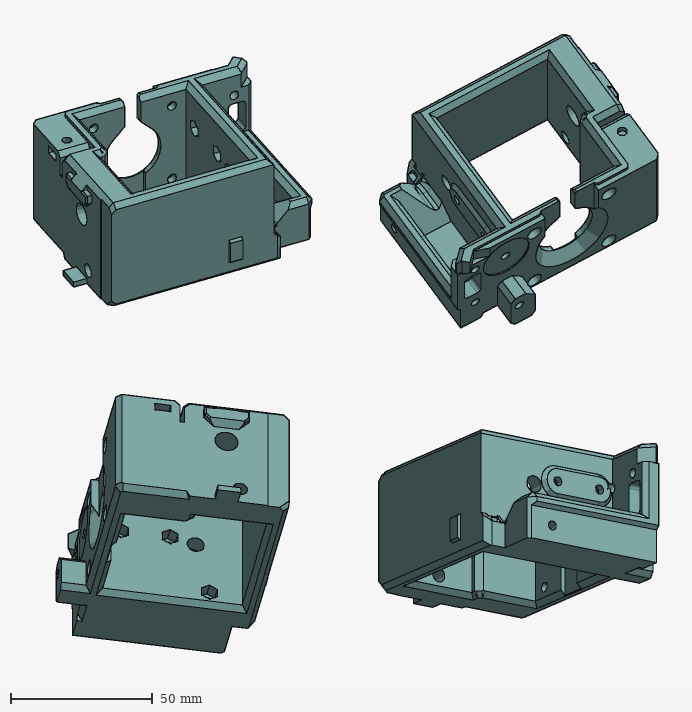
import cadquery as cq
import math

HEIGHT = 44.0
BOX_RIGHT = 62.1
BACK_END = 84.8
EDGE = 1.9

PLATE = 6.0
CAVITY_RIGHT = 56.2
CAVITY_FRONT = 12.0
CAVITY_BACK = 58.1
BACK_WALL = 64.6
INNER_BLOCK_RIGHT = 30.3
INNER_BLOCK_BACK = 16.0
RIM_CHAMFER = 2.0
BOTTOM_CHAMFER = 2.2

LEDGE_Z = 42.75
RIM_LEFT = 1.9
RIM_FRONT = 11.9
SLIT_LEFT = 22.8
SLIT_RIGHT = 24.3

TRAY_RIGHT = 54.4
TRAY_BACK = 78.75
TRAY_TOP = 17.0
TRAY_LIP = 1.35
TRAY_LIP_Z = 13.4
RAMP_START = 36.3
RAMP_END = 50.9
RAMP_SLOPE = 0.75

SCREW = 3.4
NUT_SCREW = 3.2


def box(x0, x1, y0, y1, z0, z1):
    """Block between two opposite corners."""
    return cq.Workplane("XY").box(x1 - x0, y1 - y0, z1 - z0, centered=False).translate((x0, y0, z0))


def prism_x(points, x0, x1):
    """Outline of (Y, Z) points extruded from x0 to x1."""
    return cq.Workplane("YZ", origin=(x0, 0, 0)).polyline(points).close().extrude(x1 - x0)


def prism_y(points, y0, y1):
    """Outline of (X, Z) points extruded from y0 to y1."""
    return cq.Workplane("XZ", origin=(0, y0, 0)).polyline(points).close().extrude(y0 - y1)


def prism_z(points, z0, z1):
    """Outline of (X, Y) points extruded from z0 to z1."""
    return cq.Workplane("XY", origin=(0, 0, z0)).polyline(points).close().extrude(z1 - z0)


def rod_x(diameter, y, z, x0, x1):
    """Cylinder along X."""
    return cq.Workplane("YZ", origin=(x0, y, z)).circle(diameter / 2).extrude(x1 - x0)


def rod_y(diameter, x, z, y0, y1):
    """Cylinder along Y."""
    return cq.Workplane("XZ", origin=(x, y0, z)).circle(diameter / 2).extrude(y0 - y1)


def corner_tetrahedron(corner, legs):
    """Tetrahedron with a right-angled corner and signed legs along X, Y and Z."""
    tip = cq.Vector(*corner)
    ends = [tip + cq.Vector(*(leg if i == j else 0 for j in range(3))) for i, leg in enumerate(legs)]
    triangles = [
        (tip, ends[0], ends[1]),
        (tip, ends[1], ends[2]),
        (tip, ends[2], ends[0]),
        (ends[0], ends[1], ends[2]),
    ]
    faces = [cq.Face.makeFromWires(cq.Wire.makePolygon(list(t), close=True)) for t in triangles]
    return cq.Workplane(cq.Solid.makeSolid(cq.Shell.makeShell(faces)))


RIGHT_SET_BACK = 0.4
REAR_BLOCK_BACK = 68.2
REAR_BLOCK_Z = 12.6


def main_box():
    outline = [
        (0, EDGE),
        (EDGE, 0),
        (TRAY_RIGHT, 0),
        (TRAY_RIGHT, RIGHT_SET_BACK),
        (BOX_RIGHT, RIGHT_SET_BACK),
        (BOX_RIGHT, BACK_WALL),
        (0, BACK_WALL),
    ]
    rear_profile = [
        (CAVITY_BACK, 0),
        (REAR_BLOCK_BACK, 0),
        (REAR_BLOCK_BACK, REAR_BLOCK_Z - (REAR_BLOCK_BACK - BACK_WALL)),
        (BACK_WALL, REAR_BLOCK_Z),
        (CAVITY_BACK, REAR_BLOCK_Z),
    ]
    rear_block = prism_x(rear_profile, TRAY_RIGHT, BOX_RIGHT)
    corner = 2.3
    rear_corner = [
        (BOX_RIGHT, REAR_BLOCK_BACK - corner),
        (BOX_RIGHT - corner, REAR_BLOCK_BACK),
        (BOX_RIGHT, REAR_BLOCK_BACK),
    ]
    return prism_z(outline, 0, HEIGHT).union(rear_block.cut(prism_z(rear_corner, 0, HEIGHT)))


def cavity():
    """Opening through the whole height, widened by a chamfer at both ends."""
    step = 2.25
    outline = [
        (PLATE, INNER_BLOCK_BACK),
        (INNER_BLOCK_RIGHT - step, INNER_BLOCK_BACK),
        (INNER_BLOCK_RIGHT, INNER_BLOCK_BACK - step),
        (INNER_BLOCK_RIGHT, CAVITY_FRONT),
        (CAVITY_RIGHT, CAVITY_FRONT),
        (CAVITY_RIGHT, CAVITY_BACK),
        (PLATE, CAVITY_BACK),
    ]
    hollow = prism_z(outline, 0, HEIGHT)
    for end, direction in ((HEIGHT, -1), (0, 1)):
        grown = cq.Workplane("XY", origin=(0, 0, end)).polyline(outline).close()
        grown = grown.offset2D(RIM_CHAMFER, "intersection")
        hollow = hollow.union(grown.extrude(direction * 2 * RIM_CHAMFER, taper=45))
    return hollow


def top_chamfers():
    front = [(0, HEIGHT - RIM_CHAMFER), (RIM_CHAMFER, HEIGHT), (0, HEIGHT)]
    right = [(BOX_RIGHT - EDGE, HEIGHT), (BOX_RIGHT, HEIGHT - EDGE), (BOX_RIGHT, HEIGHT)]
    cuts = prism_x(front, SLIT_RIGHT, BOX_RIGHT).union(prism_y(right, 0, BACK_WALL))
    size = 2.2
    low = HEIGHT - size
    along_plate = [(PLATE - size, HEIGHT), (PLATE, low), (BOX_RIGHT, low), (BOX_RIGHT, HEIGHT)]
    along_wall = [(BACK_WALL - size, HEIGHT), (BACK_WALL, low), (BACK_END, low), (BACK_END, HEIGHT)]
    rear = prism_y(along_plate, 0, BACK_END).intersect(prism_x(along_wall, 0, BOX_RIGHT))
    return cuts.union(rear)


def bottom_chamfers():
    """Chamfers along the underside; the front and left ones stop at slanted ends."""
    size = BOTTOM_CHAMFER
    front_end, left_end = 25.1, 74.0
    slant = 1.2
    bevel = [(0, 0), (0, size), (EDGE, 0)]
    front_extent = [(0, 0), (front_end + slant, 0), (front_end, size), (0, size)]
    left_extent = [(0, 0), (left_end + slant, 0), (left_end, size), (0, size)]
    front = prism_x(bevel, 0, front_end + slant).intersect(prism_y(front_extent, 0, EDGE))
    left = prism_y(bevel, 0, left_end + slant).intersect(prism_x(left_extent, 0, EDGE))
    right = prism_y([(BOX_RIGHT - EDGE, 0), (BOX_RIGHT, EDGE), (BOX_RIGHT, 0)], 0, REAR_BLOCK_BACK)
    return front.union(left).union(right)


def corner_facets():
    """Small triangular facets where the chamfers meet at the front corners."""
    right_leg, left_leg, slit_leg = 3.6, 4.5, 2 * RIM_CHAMFER
    facets = corner_tetrahedron((BOX_RIGHT, RIGHT_SET_BACK, HEIGHT), (-right_leg, right_leg, -right_leg))
    for corner, legs in (
        ((BOX_RIGHT, RIGHT_SET_BACK, 0), (-right_leg, right_leg, right_leg)),
        ((0, 0, 0), (left_leg, left_leg, left_leg)),
        ((SLIT_RIGHT, 0, HEIGHT), (slit_leg, slit_leg, -slit_leg)),
    ):
        facets = facets.union(corner_tetrahedron(corner, legs))
    return facets


TRAY_FOOT = BACK_END - TRAY_LIP
TRAY_BACK_PROFILE = [(TRAY_FOOT, 0), (TRAY_FOOT, TRAY_LIP_Z - TRAY_LIP), (BACK_END, TRAY_LIP_Z)]
NUT_X = (12.5, 30.2)
NUT_Z = 29.25


def plate_extension():
    profile = [(CAVITY_BACK, 0), *TRAY_BACK_PROFILE, (BACK_END, HEIGHT), (CAVITY_BACK, HEIGHT)]
    corner = 1.8
    trim = [(PLATE, BACK_END - corner), (PLATE - corner, BACK_END), (PLATE, BACK_END)]
    return prism_x(profile, 0, PLATE).cut(prism_z(trim, TRAY_TOP - EDGE, HEIGHT))


def tray():
    profile = [
        (CAVITY_BACK, 0),
        *TRAY_BACK_PROFILE,
        (BACK_END, TRAY_TOP - EDGE),
        (BACK_END - EDGE, TRAY_TOP),
        (CAVITY_BACK, TRAY_TOP),
    ]
    body = prism_x(profile, PLATE - RIM_CHAMFER, TRAY_RIGHT)
    right_edge = [(TRAY_RIGHT - EDGE, TRAY_TOP), (TRAY_RIGHT, TRAY_TOP - EDGE), (TRAY_RIGHT, TRAY_TOP)]
    body = body.cut(prism_y(right_edge, BACK_WALL, BACK_END))
    corner = 2.5
    back_corner = [(TRAY_RIGHT - corner, BACK_END), (TRAY_RIGHT, BACK_END - corner), (TRAY_RIGHT, BACK_END)]
    leg = corner + EDGE
    facet = corner_tetrahedron((TRAY_RIGHT, BACK_END, TRAY_TOP), (-leg, -leg, -leg))
    body = body.cut(prism_z(back_corner, 0, TRAY_TOP)).cut(facet)
    return body.cut(tray_hollow()).cut(cable_groove())


def tray_hollow():
    """Flat floor followed by a ramp up to the right rim."""
    floor = TRAY_TOP - RAMP_SLOPE * (RAMP_END - RAMP_START)
    side = [(PLATE, floor), (RAMP_START, floor), (RAMP_END, TRAY_TOP), (PLATE, TRAY_TOP)]
    across = [
        (BACK_WALL, 0),
        (TRAY_BACK, 0),
        (TRAY_BACK, TRAY_TOP - RIM_CHAMFER),
        (TRAY_BACK + RIM_CHAMFER, TRAY_TOP),
        (BACK_WALL, TRAY_TOP),
    ]
    return prism_y(side, BACK_WALL, BACK_END).intersect(prism_x(across, PLATE, TRAY_RIGHT))


def cable_groove():
    """Groove across the ramp, opened by a 45 degree slope; it bends down before the right side."""
    depth, floor_left, floor_right = 1.1, 66.5, 68.1
    bend_start, bend_radius, bend_angle = 49.4, 12.6, 35
    rear_edge, rise = 69.7, 6.3
    edge_z = TRAY_TOP - rise
    floor_z = edge_z - depth
    groove = [
        (BACK_WALL, TRAY_TOP),
        (BACK_WALL, edge_z),
        (floor_left, floor_z),
        (floor_right, floor_z),
        (rear_edge, edge_z),
        (rear_edge + rise, TRAY_TOP),
    ]
    low_part = groove[1:5]
    straight = prism_x(groove, RAMP_START, TRAY_RIGHT)
    bend = (
        cq.Workplane("YZ", origin=(bend_start, 0, 0))
        .polyline(low_part)
        .close()
        .revolve(bend_angle, (0, floor_z - bend_radius), (1, floor_z - bend_radius))
    )
    return straight.union(bend)


def rear_wall_boss():
    """Rounded pad with sloped sides behind the two nut traps."""
    height, diameter = 1.4, 12.1
    return (
        cq.Workplane("XZ", origin=(sum(NUT_X) / 2, BACK_WALL, NUT_Z))
        .slot2D(NUT_X[1] - NUT_X[0] + diameter, diameter)
        .extrude(-height, taper=45)
    )


MOTOR_Y = 37.2
MOTOR_Z = 21.15
MOTOR_BORE = 22.1
MOTOR_CONE = 30.1
MOTOR_PITCH = 31.0
ENTRY_DEPTH = 2.9
ENTRY_HALF = MOTOR_BORE / 2
SLOT_HALF = 3.15


def motor_opening():
    radius = MOTOR_BORE / 2
    cone_depth = (MOTOR_CONE - MOTOR_BORE) / 2
    bore = rod_x(MOTOR_BORE, MOTOR_Y, MOTOR_Z, 0, PLATE)
    cone = (
        cq.Workplane("YZ", origin=(0, MOTOR_Y, MOTOR_Z)).circle(MOTOR_CONE / 2).extrude(cone_depth, taper=45)
    )
    entry = box(0, ENTRY_DEPTH, MOTOR_Y - ENTRY_HALF, MOTOR_Y + ENTRY_HALF, MOTOR_Z, HEIGHT)
    tangent = radius * math.sqrt(0.5)
    flare_z = MOTOR_Z + 2 * tangent - SLOT_HALF
    lead_in = 0.7
    half = [
        (tangent, MOTOR_Z + tangent),
        (SLOT_HALF, flare_z),
        (SLOT_HALF, HEIGHT - lead_in),
        (SLOT_HALF + lead_in, HEIGHT),
    ]
    outline = [(MOTOR_Y + y, z) for y, z in half] + [(MOTOR_Y - y, z) for y, z in reversed(half)]
    channel_floor, channel_half = 4.3, 5.0
    channel = box(channel_floor, PLATE, MOTOR_Y - channel_half, MOTOR_Y + channel_half, 0, MOTOR_Z)
    return bore.union(cone).union(entry).union(prism_x(outline, 0, PLATE)).union(channel)


def motor_screws():
    counterbore, depth = 5.8, 3.0
    holes = cq.Workplane("XY")
    for y_side in (-1, 1):
        for z_side in (-1, 1):
            y = MOTOR_Y + y_side * MOTOR_PITCH / 2
            z = MOTOR_Z + z_side * MOTOR_PITCH / 2
            holes = holes.add(rod_x(SCREW, y, z, 0, PLATE)).add(rod_x(counterbore, y, z, 0, depth))
    return holes.combine()


PIVOT_Y = 64.4
PIVOT_Z = 31.05
POST_SCREW_Z = 11.1


def plate_holes():
    """Round recess with its pivot hole, a rounded window and the screws above and below it."""
    recess_diameter, recess_depth, blind = 19.0, 0.5, 9.0
    window_front, window_back, window_low, window_high = 75.0, 81.8, 17.55, 30.1
    window_corner = 1.5
    screw_y, screw_heights = 77.3, (12.1, 33.6)
    recess = rod_x(recess_diameter, PIVOT_Y, PIVOT_Z, 0, recess_depth)
    pivot = rod_x(SCREW, PIVOT_Y, PIVOT_Z, 0, blind)
    window = box(0, PLATE, window_front, window_back, window_low, window_high)
    window = window.edges("|X").fillet(window_corner)
    cuts = recess.union(pivot).union(window)
    for z in screw_heights:
        cuts = cuts.union(rod_x(SCREW, screw_y, z, 0, PLATE))
    return cuts


POST_LEFT = -8.8


def post():
    """Post on the plate's outer face with unequal bevels around its top and foot."""
    front, back, top = 57.9, 68.1, 16.65
    foot_bevel, back_bevel, front_bevel = 1.7, 1.9, 4.05
    outline = [
        (back, BOTTOM_CHAMFER),
        (back, top - back_bevel),
        (back - back_bevel, top),
        (front + front_bevel, top),
        (front, top - front_bevel),
        (front, BOTTOM_CHAMFER),
        (front + foot_bevel, 0),
        (back - foot_bevel, 0),
    ]
    return prism_x(outline, POST_LEFT, EDGE).cut(rod_x(SCREW, PIVOT_Y, POST_SCREW_Z, POST_LEFT, 0))


LUG_LEFT = -2.1
LUG_TIP_Y = 80.9
LUG_OUTER = LUG_LEFT + LUG_TIP_Y
LUG_BEND = LUG_OUTER - RIM_LEFT
NOTCH_Z = 37.5


def ledge():
    """Material taken off outside the rim on the motor plate and the front block."""
    rounding = 1.5
    entry_back = MOTOR_Y + ENTRY_HALF
    entry_front = MOTOR_Y - ENTRY_HALF
    inset = ENTRY_DEPTH - RIM_LEFT
    outline = (
        cq.Workplane("XY", origin=(0, 0, LEDGE_Z))
        .moveTo(0, LUG_OUTER)
        .lineTo(RIM_LEFT, LUG_BEND)
        .lineTo(RIM_LEFT, entry_back + inset)
        .lineTo(ENTRY_DEPTH, entry_back)
        .lineTo(ENTRY_DEPTH, entry_front)
        .lineTo(RIM_LEFT, entry_front - inset)
        .lineTo(RIM_LEFT, RIM_FRONT + rounding)
        .radiusArc((RIM_LEFT + rounding, RIM_FRONT), -rounding)
        .lineTo(SLIT_RIGHT, RIM_FRONT)
        .lineTo(SLIT_RIGHT, 0)
        .lineTo(0, 0)
        .close()
    )
    return outline.extrude(HEIGHT - LEDGE_Z)


def slit():
    """Narrow cut in the front block with a ramp on its left and a chamfer on its right."""
    floor, slope = 33.5, 1.9
    gap = box(SLIT_LEFT, SLIT_RIGHT, 0, RIM_FRONT, floor, HEIGHT)
    left = [(SLIT_LEFT - slope, LEDGE_Z), (SLIT_LEFT, LEDGE_Z - slope), (SLIT_LEFT, LEDGE_Z)]
    right = [(SLIT_RIGHT, HEIGHT - RIM_CHAMFER), (SLIT_RIGHT + RIM_CHAMFER, HEIGHT), (SLIT_RIGHT, HEIGHT)]
    return gap.union(prism_y(left, 0, RIM_FRONT)).union(prism_y(right, 0, RIM_FRONT))


LUG_WIDTH = 4.5
LUG_INNER = LUG_OUTER + LUG_WIDTH
LUG_BACK = LUG_INNER + EDGE * math.sqrt(2)
LUG_END = LUG_TIP_Y - LUG_LEFT
PLATE_TOP_BEHIND_LUG = 36.3


def lug():
    """Diagonal continuation of the rim beyond the motor plate's face."""
    low, overhang = 35.3, -LUG_LEFT
    outline = [(0, LUG_OUTER), (LUG_LEFT, LUG_TIP_Y), (0, LUG_END)]
    bar = prism_z(outline, low, HEIGHT)
    under = [(LUG_LEFT, low), (LUG_LEFT, low + overhang), (0, low)]
    return bar.cut(prism_y(under, LUG_OUTER, BACK_END))


def behind_lug():
    """Plate removed behind the lug, plus the lug's top chamfer."""
    end_trim = 0.8
    behind = [
        (LUG_BACK - BACK_END, BACK_END),
        (PLATE, LUG_BACK - PLATE),
        (PLATE, BACK_END),
    ]
    end = [(0, LUG_END), (end_trim, BACK_END), (0, BACK_END)]
    cuts = prism_z(behind, PLATE_TOP_BEHIND_LUG, HEIGHT)
    cuts = cuts.union(prism_z(end, PLATE_TOP_BEHIND_LUG, HEIGHT))
    diagonal = cq.Plane(origin=(0, LUG_INNER, HEIGHT), xDir=(1, 1, 0), normal=(1, -1, 0))
    chamfer = cq.Workplane(diagonal).polyline([(0, 0), (EDGE, -EDGE), (EDGE, 0)]).close()
    return cuts.union(chamfer.extrude(PLATE * math.sqrt(2), both=True))


def lug_notch():
    """Wedge-shaped relief in the plate beside the lug."""
    front_end = 71.3
    return prism_z([(0, LUG_OUTER), (RIM_LEFT, LUG_BEND), (0, front_end)], NOTCH_Z, HEIGHT)


TAB_LEFT = 35.4
TAB_RIGHT = 43.6
TAB_REACH = 5.2
HOOK_REACH = 2.25


def hook():
    left, right, low, high = 31.2, 47.4, 33.1, 40.05
    corner, edge = 3.6, 0.5
    outline = [
        (left, high),
        (left, low + corner),
        (left + corner, low),
        (right - corner, low),
        (right, low + corner),
        (right, high),
    ]
    body = prism_y(outline, -HOOK_REACH, 0).faces("<Y").chamfer(edge)
    under = [(0, low), (-HOOK_REACH, low), (-HOOK_REACH, low + HOOK_REACH)]
    body = body.cut(prism_x(under, left, right))
    drop = HEIGHT - RIM_CHAMFER
    support = [(0, drop), (-HOOK_REACH, drop - HOOK_REACH), (-HOOK_REACH, low + corner), (0, low + corner)]
    return body.union(prism_x(support, TAB_LEFT, TAB_RIGHT))


def tab():
    thickness = 2.2
    return box(TAB_LEFT, TAB_RIGHT, -TAB_REACH, 0, 0, thickness)


def nut_slot():
    """Square-nut slot in the front block with its vertical screw hole."""
    left, right, depth, low, high = 13.7, 19.4, 9.0, 37.5, 40.4
    screw_x, screw_y, screw_floor = 16.3, 5.9, 32.4
    slot = box(left, right, 0, depth, low, high)
    hole = cq.Workplane("XY", origin=(screw_x, screw_y, screw_floor)).circle(SCREW / 2).extrude(HEIGHT)
    return slot.union(hole)


def hex_nut_hole(x, z):
    """Screw hole through the rear wall with a hexagonal nut trap on the cavity side."""
    flats, depth = 5.6, 4.95
    nut = (
        cq.Workplane("XZ", origin=(x, CAVITY_BACK, z))
        .polygon(6, flats, circumscribed=True)
        .extrude(-depth)
    )
    return nut.union(rod_y(NUT_SCREW, x, z, CAVITY_BACK, BACK_END))


def front_and_rear_holes():
    """Access holes in the front wall, in line with screw holes in the rear wall."""
    upper_x, upper_z = 39.4, 27.0
    lower_x, lower_z = 44.4, 6.0
    upper_front, upper_rear, lower_front = 8.2, 6.0, 5.0
    cuts = rod_y(upper_front, upper_x, upper_z, 0, CAVITY_FRONT)
    cuts = cuts.union(rod_y(upper_rear, upper_x, upper_z, CAVITY_BACK, BACK_WALL))
    cuts = cuts.union(rod_y(lower_front, lower_x, lower_z, 0, CAVITY_FRONT))
    cuts = cuts.union(hex_nut_hole(lower_x, lower_z))
    for x in NUT_X:
        cuts = cuts.union(hex_nut_hole(x, NUT_Z))
    return cuts


def side_pad():
    """Low raised pad on the right face with bevelled ends."""
    reach, bevel = 1.2, 0.6
    low, high = 5.85, 15.3
    front, back = 46.8, 51.75
    outline = [
        (BOX_RIGHT, low),
        (BOX_RIGHT + reach, low + bevel),
        (BOX_RIGHT + reach, high - bevel),
        (BOX_RIGHT, high),
    ]
    return prism_y(outline, front, back)


def rear_block_pocket():
    """Flat-floored notch and a narrow slit in the slope of the rear block."""
    floor = REAR_BLOCK_Z - (REAR_BLOCK_BACK - BACK_WALL)
    left, right, front, corner = 55.6, 59.2, 66.15, 0.6
    outline = [
        (left, REAR_BLOCK_BACK),
        (left, front + corner),
        (left + corner, front),
        (right - corner, front),
        (right, front + corner),
        (right, REAR_BLOCK_BACK),
    ]
    slot_depth, slot_width, overlap = 5.4, 0.9, 0.45
    slot_back, slot_floor = BACK_WALL + slot_width, REAR_BLOCK_Z - slot_depth
    slot = box(left - overlap, right + overlap, BACK_WALL, slot_back, slot_floor, REAR_BLOCK_Z)
    return prism_z(outline, floor, REAR_BLOCK_Z).union(slot)


result = main_box().union(plate_extension()).union(lug())
result = result.cut(top_chamfers()).union(tray()).cut(cavity()).union(rear_wall_boss())
for cutter in (
    bottom_chamfers(),
    corner_facets(),
    behind_lug(),
    ledge(),
    lug_notch(),
    slit(),
    motor_opening(),
    motor_screws(),
    plate_holes(),
    nut_slot(),
    front_and_rear_holes(),
    rear_block_pocket(),
):
    result = result.cut(cutter)
for addition in (post(), hook(), tab(), side_pad()):
    result = result.union(addition)